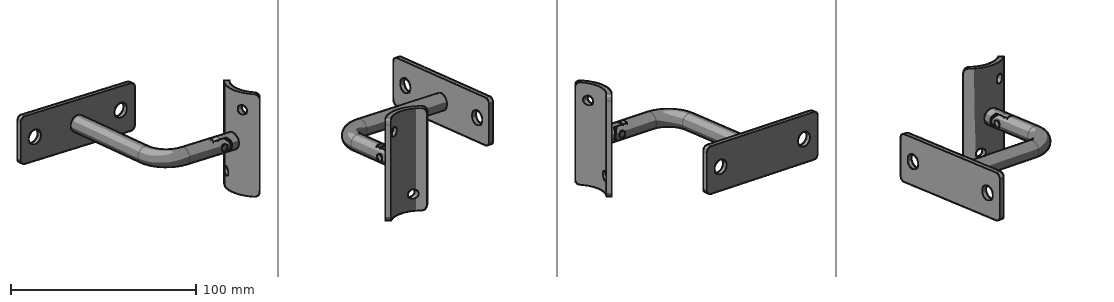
import cadquery as cq
import math

PLATE_LENGTH = 80.0
PLATE_HEIGHT = 28.0
PLATE_THICKNESS = 3.0
CORNER_RADIUS = 3.0
SCREW_HOLE_DIAMETER = 8.5
SCREW_HOLE_INSET = 10.0

ROD_RADIUS = 5.0
BEND_RADIUS = 15.0
ARM_X = 75.0
ARM_Y = PLATE_LENGTH / 2

PIVOT_Y = 79.4
PIN_RADIUS = 2.1
PIN_LENGTH = 10.6
EAR_RADIUS = 4.5
SHOULDER_RADIUS = 5.5
SLOT_WIDTH = 5.0
SLOT_DEPTH = 5.7
TONGUE_WIDTH = 4.8
TONGUE_REACH = 4.9
TONGUE_TIP_FILLET = 4.0

SADDLE_WIDTH = 30.0
SADDLE_HEIGHT = 60.0
SADDLE_OUTER_RADIUS = 20.0
SADDLE_THICKNESS = 3.0
SADDLE_INNER_RADIUS = SADDLE_OUTER_RADIUS - SADDLE_THICKNESS
SADDLE_BOTTOM_Y = 89
SADDLE_AXIS_Y = SADDLE_BOTTOM_Y + SADDLE_OUTER_RADIUS
RAIL_HOLE_DIAMETER = 5.5
RAIL_HOLE_X = 6.7
RAIL_HOLE_Z = 20.0


def cylinder_along_x(radius, length):
    """Cylinder on the pivot axis, centred on the arm."""
    return (
        cq.Workplane("YZ", origin=(ARM_X - length / 2, PIVOT_Y, 0))
        .circle(radius)
        .extrude(length)
    )


def cylinder_along_y(radius, start_y, end_y):
    """Cylinder on the second leg of the arm."""
    return (
        cq.Workplane("XZ", origin=(ARM_X, start_y, 0))
        .circle(radius)
        .extrude(start_y - end_y)
    )


def box_on_arm(width, start_y, end_y):
    """Block as tall as the rod, centred on the second leg of the arm."""
    return cq.Workplane("XY").box(width, end_y - start_y, 2 * ROD_RADIUS).translate(
        (ARM_X, (start_y + end_y) / 2, 0)
    )


def make_plate():
    hole_offset = PLATE_LENGTH / 2 - SCREW_HOLE_INSET
    return (
        cq.Workplane("YZ", origin=(0, ARM_Y, 0))
        .rect(PLATE_LENGTH, PLATE_HEIGHT)
        .extrude(PLATE_THICKNESS)
        .edges("|X")
        .fillet(CORNER_RADIUS)
        .faces("<X")
        .workplane(origin=(0, ARM_Y, 0))
        .pushPoints([(-hole_offset, 0), (hole_offset, 0)])
        .hole(SCREW_HOLE_DIAMETER)
    )


def make_rod():
    bend_start_x = ARM_X - BEND_RADIUS
    bend_end_y = ARM_Y + BEND_RADIUS
    bend_middle = (
        bend_start_x + BEND_RADIUS * math.sin(math.pi / 4),
        bend_end_y - BEND_RADIUS * math.cos(math.pi / 4),
    )
    path = (
        cq.Workplane("XY")
        .moveTo(PLATE_THICKNESS, ARM_Y)
        .lineTo(bend_start_x, ARM_Y)
        .threePointArc(bend_middle, (ARM_X, bend_end_y))
        .lineTo(ARM_X, PIVOT_Y)
    )
    return (
        cq.Workplane("YZ", origin=(PLATE_THICKNESS, ARM_Y, 0))
        .circle(ROD_RADIUS)
        .sweep(path)
    )


def make_bracket():
    """Plate, bent rod and forked end, with the riveted pin across the fork."""
    ears = cylinder_along_x(EAR_RADIUS, 2 * ROD_RADIUS).intersect(
        cylinder_along_y(ROD_RADIUS, PIVOT_Y, PIVOT_Y + EAR_RADIUS)
    )
    slot = box_on_arm(SLOT_WIDTH, PIVOT_Y - SLOT_DEPTH, PIVOT_Y + EAR_RADIUS)
    forked_rod = make_rod().union(ears).cut(slot)
    pin = cylinder_along_x(PIN_RADIUS, PIN_LENGTH)
    return make_plate().union(forked_rod).union(pin)


def make_shell():
    """Curved saddle plate with radial ends, rounded corners and rail holes."""
    half_angle = math.asin(SADDLE_WIDTH / 2 / SADDLE_OUTER_RADIUS)

    def arc_point(radius, angle):
        return ARM_X + radius * math.sin(angle), SADDLE_AXIS_Y - radius * math.cos(angle)

    shell = (
        cq.Workplane("XY", origin=(0, 0, -SADDLE_HEIGHT / 2))
        .moveTo(*arc_point(SADDLE_OUTER_RADIUS, -half_angle))
        .threePointArc(
            arc_point(SADDLE_OUTER_RADIUS, 0),
            arc_point(SADDLE_OUTER_RADIUS, half_angle),
        )
        .lineTo(*arc_point(SADDLE_INNER_RADIUS, half_angle))
        .threePointArc(
            arc_point(SADDLE_INNER_RADIUS, 0),
            arc_point(SADDLE_INNER_RADIUS, -half_angle),
        )
        .close()
        .extrude(SADDLE_HEIGHT)
    )
    shell = shell.faces("<Z or >Z").edges("%LINE").fillet(CORNER_RADIUS)
    holes = (
        cq.Workplane("XZ", origin=(ARM_X, SADDLE_BOTTOM_Y, 0))
        .pushPoints([(RAIL_HOLE_X, RAIL_HOLE_Z), (-RAIL_HOLE_X, -RAIL_HOLE_Z)])
        .circle(RAIL_HOLE_DIAMETER / 2)
        .extrude(-SADDLE_OUTER_RADIUS)
    )
    return shell.cut(holes)


def make_tongue():
    """Round stem narrowed to a domed tongue that fits the fork."""
    tip_y = PIVOT_Y - TONGUE_REACH
    stem_end_y = SADDLE_BOTTOM_Y + SADDLE_THICKNESS / 2
    stem = cylinder_along_y(ROD_RADIUS, tip_y, stem_end_y).faces("<Y").edges().fillet(TONGUE_TIP_FILLET)
    clearance = cylinder_along_x(SHOULDER_RADIUS, 2 * ROD_RADIUS).union(
        box_on_arm(2 * ROD_RADIUS, tip_y, PIVOT_Y)
    )
    tongue_block = box_on_arm(TONGUE_WIDTH, tip_y, PIVOT_Y + SHOULDER_RADIUS)
    pin_hole = cylinder_along_x(PIN_RADIUS, PIN_LENGTH)
    return stem.cut(clearance.cut(tongue_block)).cut(pin_hole)


def make_saddle():
    return make_shell().union(make_tongue())


bracket = make_bracket()
saddle = make_saddle()
result = cq.Compound.makeCompound([bracket.val(), saddle.val()])